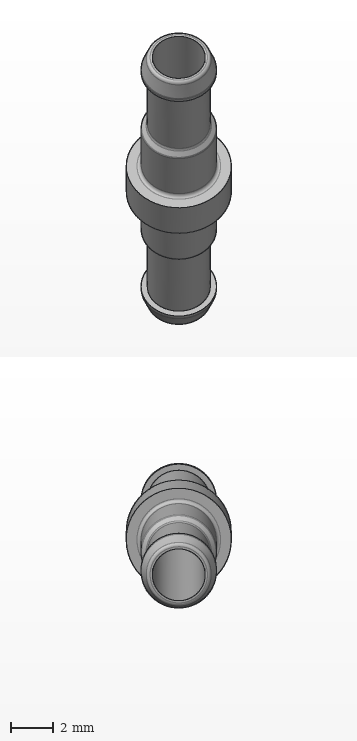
import cadquery as cq

length = 19.0
bore_radius = 2.5 / 2
tube_radius = 3.0 / 2
shoulder_radius = 3.6 / 2
barb_radius = shoulder_radius
flange_radius = 5.0 / 2
flange_thickness = 2.0

tip_radius = 1.5
barb_cone_length = 0.91
barb_length = 1.1
tube_end_depth = 5.25

round_radius = 0.19
shoulder_round = 0.1

half_length = length / 2
half_flange = flange_thickness / 2
barb_base_z = half_length - barb_length
barb_edge_z = half_length - barb_cone_length
shoulder_cone_top = half_length - tube_end_depth
shoulder_edge_z = shoulder_cone_top - (shoulder_radius - tube_radius)


def round_circles(body, radius, height, fillet_radius):
    """Round the matching pair of circular edges at the given height above and below the middle."""
    tolerance = 0.002
    edges = body.edges("%CIRCLE").filter(
        lambda edge: abs(abs(edge.Center().z) - height) < tolerance
        and abs(edge.radius() - radius) < tolerance
    )
    return body.newObject(edges.vals()).fillet(fillet_radius)


upper_points = [
    (flange_radius, half_flange),
    (shoulder_radius, half_flange),
    (shoulder_radius, shoulder_edge_z),
    (tube_radius, shoulder_cone_top),
    (tube_radius, barb_base_z),
    (barb_radius, barb_base_z),
    (barb_radius, barb_edge_z),
    (tip_radius, half_length),
    (bore_radius, half_length),
]
lower_points = [(radius, -height) for radius, height in reversed(upper_points)]

fitting = (
    cq.Workplane("XZ")
    .polyline(lower_points + upper_points)
    .close()
    .revolve(360, (0, 0, 0), (0, 1, 0))
)

fitting = round_circles(fitting, shoulder_radius, half_flange, round_radius)
fitting = round_circles(fitting, shoulder_radius, shoulder_edge_z, shoulder_round)
fitting = round_circles(fitting, tube_radius, shoulder_cone_top, round_radius)
fitting = round_circles(fitting, barb_radius, barb_edge_z, round_radius)
fitting = round_circles(fitting, tip_radius, half_length, round_radius)

result = fitting